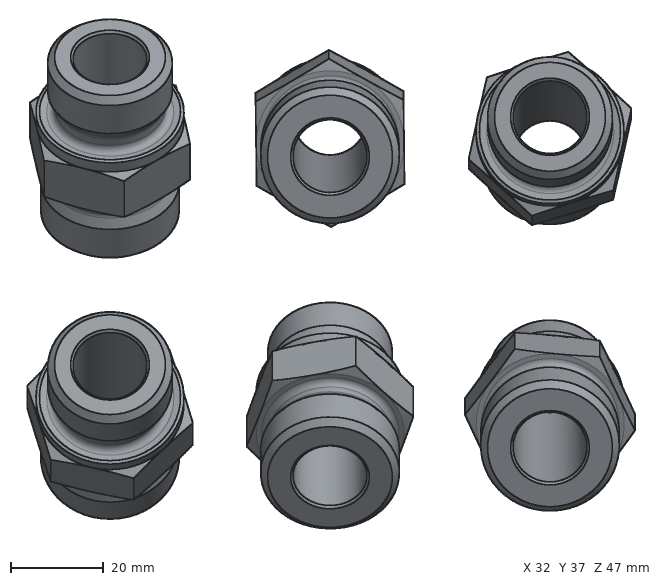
import cadquery as cq
import math

length = 47.0
across_flats = 32.0
hex_bottom = 16.05
hex_top = 28.05
hex_corner_radius = across_flats / math.sqrt(3)
hex_chamfer_angle = math.radians(15)

lower_radius = 30.0 / 2
upper_radius = 27.0 / 2
undercut_depth = 1.5
lower_neck_radius = lower_radius - undercut_depth
upper_neck_radius = upper_radius - undercut_depth
end_chamfer_width = 1.5
end_chamfer_height = 1.55
lower_thread_top = 9.9
upper_thread_bottom = 37.1
undercut_angle = math.radians(30)
undercut_fillet = 1.5
hex_shoulder_fillet = 1.4

collar_radius = across_flats / 2
collar_top = 30.95
collar_chamfer_width = 0.75
collar_chamfer_height = 0.2
recess_angle = math.radians(10)

bore_radius = 16.0 / 2
bore_chamfer = 0.5


def undercut_points(thread_radius, thread_end, direction):
    """Points of the cone, its blend arc and the neck; direction is +1 up or -1 down."""
    neck_radius = thread_radius - undercut_depth
    corner_z = thread_end + direction * undercut_depth / math.tan(undercut_angle)
    tangent = undercut_fillet * math.tan(undercut_angle / 2)
    center_radius = neck_radius + undercut_fillet
    center_z = corner_z + direction * tangent

    def arc_point(angle):
        return (center_radius - undercut_fillet * math.cos(angle),
                center_z - direction * undercut_fillet * math.sin(angle))

    return arc_point(undercut_angle), arc_point(undercut_angle / 2), arc_point(0)


def hex_shoulder_points():
    """Quarter arc from the lower neck to the flat underside of the hexagon."""
    center_radius = lower_neck_radius + hex_shoulder_fillet
    center_z = hex_bottom - hex_shoulder_fillet
    offset = hex_shoulder_fillet * math.sqrt(0.5)
    return ((lower_neck_radius, center_z),
            (center_radius - offset, center_z + offset),
            (center_radius, hex_bottom))


def collar_recess_points(rim_radius):
    """Arc from the shallow conical recess in the collar face, tangent to it, up to the upper neck."""
    center_radius = upper_neck_radius + undercut_fillet
    end_radius = center_radius + undercut_fillet * math.sin(recess_angle)
    end_z = collar_top - (rim_radius - end_radius) * math.tan(recess_angle)
    center_z = end_z + undercut_fillet * math.cos(recess_angle)
    offset = undercut_fillet * math.sqrt(0.5)
    return ((end_radius, end_z),
            (center_radius - offset, center_z - offset),
            (upper_neck_radius, center_z))


def make_turned_body():
    lower_cone, lower_mid, lower_neck = undercut_points(lower_radius, lower_thread_top, 1)
    upper_cone, upper_mid, upper_neck = undercut_points(upper_radius, upper_thread_bottom, -1)
    hex_start, hex_mid, hex_end = hex_shoulder_points()
    rim_radius = collar_radius - collar_chamfer_width
    recess_end, recess_mid, recess_neck = collar_recess_points(rim_radius)
    profile = (
        cq.Workplane("XZ")
        .lineTo(lower_radius - end_chamfer_width, 0)
        .lineTo(lower_radius, end_chamfer_height)
        .lineTo(lower_radius, lower_thread_top)
        .lineTo(*lower_cone)
        .threePointArc(lower_mid, lower_neck)
        .lineTo(*hex_start)
        .threePointArc(hex_mid, hex_end)
        .lineTo(collar_radius, hex_bottom)
        .lineTo(collar_radius, collar_top - collar_chamfer_height)
        .lineTo(rim_radius, collar_top)
        .lineTo(*recess_end)
        .threePointArc(recess_mid, recess_neck)
        .lineTo(*upper_neck)
        .threePointArc(upper_mid, upper_cone)
        .lineTo(upper_radius, upper_thread_bottom)
        .lineTo(upper_radius, length - end_chamfer_height)
        .lineTo(upper_radius - end_chamfer_width, length)
        .lineTo(0, length)
        .close()
    )
    return profile.revolve(360, (0, 0, 0), (0, 1, 0))


def make_hexagon():
    """Hexagon with corners on the Y axis and its corners turned off at both ends."""
    prism = (
        cq.Workplane("XY", origin=(0, 0, hex_bottom))
        .polygon(6, 2 * hex_corner_radius)
        .extrude(hex_top - hex_bottom)
        .rotate((0, 0, 0), (0, 0, 1), 30)
    )
    corner_drop = (hex_corner_radius - collar_radius) * math.tan(hex_chamfer_angle)
    turned_envelope = (
        cq.Workplane("XZ")
        .moveTo(0, hex_bottom)
        .lineTo(collar_radius, hex_bottom)
        .lineTo(hex_corner_radius, hex_bottom + corner_drop)
        .lineTo(hex_corner_radius, hex_top - corner_drop)
        .lineTo(collar_radius, hex_top)
        .lineTo(0, hex_top)
        .close()
        .revolve(360, (0, 0, 0), (0, 1, 0))
    )
    return prism.intersect(turned_envelope)


def make_bore():
    """Through bore with a chamfered mouth at each end."""
    mouth_radius = bore_radius + bore_chamfer
    return (
        cq.Workplane("XZ")
        .lineTo(mouth_radius, 0)
        .lineTo(bore_radius, bore_chamfer)
        .lineTo(bore_radius, length - bore_chamfer)
        .lineTo(mouth_radius, length)
        .lineTo(0, length)
        .close()
        .revolve(360, (0, 0, 0), (0, 1, 0))
    )


result = make_turned_body().union(make_hexagon()).cut(make_bore())